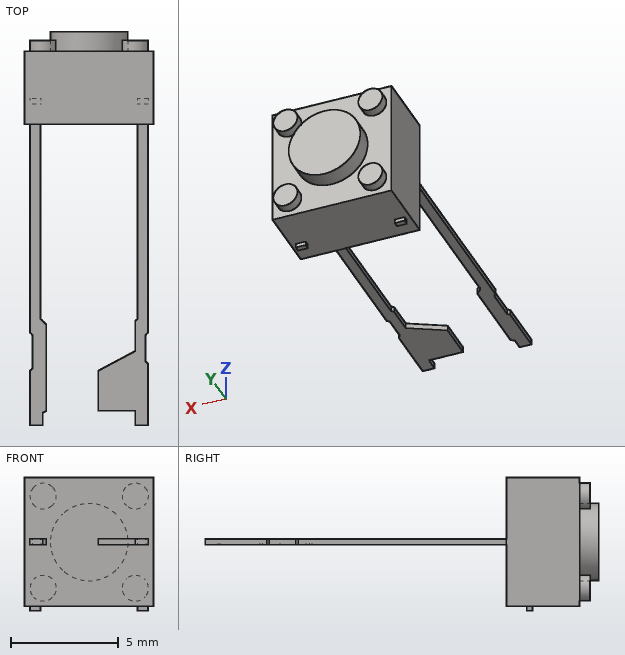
import cadquery as cq

body_side = 6.0
body_depth = 3.4
half_side = body_side / 2

button_diameter = 3.6
button_height = 0.9
peg_diameter = 1.2
peg_height = 0.5
peg_offset = 2.15

sheet_thickness = 0.27
lead_width = 0.5
lead_outer = 2.75
lead_inner = lead_outer - lead_width
lead_length = 18.3 - body_depth - button_height
tip_y = -lead_length
stub_drop = 0.2
stub_y = 1.08

notch_depth = 0.11
notch_outer = lead_outer - notch_depth
notch_top = tip_y + 4.32
left_notch_bottom = tip_y + 2.55
right_notch_bottom = tip_y + 2.87

shoulder_y = tip_y + 4.96
foot_bottom = tip_y + 0.68

left_foot_inner = 1.98
left_tip_inner = 2.15
left_foot_bevel = 0.1

right_foot_inner = 2.15
wing_inner = 0.42
wing_root_y = tip_y + 3.45
wing_corner_y = tip_y + 2.55


def back_cylinder(x, z, diameter, height):
    """Cylinder standing on the back face of the body."""
    base = cq.Workplane("XZ", origin=(x, body_depth, z))
    return base.circle(diameter / 2).extrude(-height)


def flat_lead(side, notch_bottom, inner_edge):
    """Lead from its inner edge (listed from body to tip) and notched outer edge.

    Positions are distances from the centre plane; side is -1 or 1 along X.
    """
    outer_edge = [
        (lead_outer, tip_y),
        (lead_outer, notch_bottom),
        (notch_outer, notch_bottom + notch_depth),
        (notch_outer, notch_top - notch_depth),
        (lead_outer, notch_top),
        (lead_outer, 0),
    ]
    outline = [(side * x, y) for x, y in inner_edge + outer_edge]
    return cq.Workplane("XY").polyline(outline).close().extrude(sheet_thickness / 2, both=True)


def left_lead():
    shoulder_run = lead_inner - left_foot_inner
    inner_edge = [
        (lead_inner, 0),
        (lead_inner, shoulder_y),
        (left_foot_inner, shoulder_y - shoulder_run),
        (left_foot_inner, foot_bottom),
        (left_tip_inner, foot_bottom - left_foot_bevel),
        (left_tip_inner, tip_y),
    ]
    return flat_lead(-1, left_notch_bottom, inner_edge)


def right_lead():
    shoulder_run = lead_inner - right_foot_inner
    inner_edge = [
        (lead_inner, 0),
        (lead_inner, shoulder_y),
        (right_foot_inner, shoulder_y - shoulder_run),
        (right_foot_inner, wing_root_y),
        (wing_inner, wing_corner_y),
        (wing_inner, foot_bottom),
        (right_foot_inner, foot_bottom),
        (right_foot_inner, tip_y),
    ]
    return flat_lead(1, right_notch_bottom, inner_edge)


def bottom_stub(side):
    """Short rectangular stub below the body, in line with a lead."""
    x = side * (lead_outer + lead_inner) / 2
    top = cq.Workplane("XY", origin=(x, stub_y, -half_side))
    return top.rect(lead_width, sheet_thickness).extrude(-stub_drop)


result = cq.Workplane("XZ").rect(body_side, body_side).extrude(-body_depth)
result = result.union(back_cylinder(0, 0, button_diameter, button_height))

for side in (-1, 1):
    result = result.union(bottom_stub(side))
    for level in (-1, 1):
        peg = back_cylinder(side * peg_offset, level * peg_offset, peg_diameter, peg_height)
        result = result.union(peg)

result = result.union(left_lead()).union(right_lead())